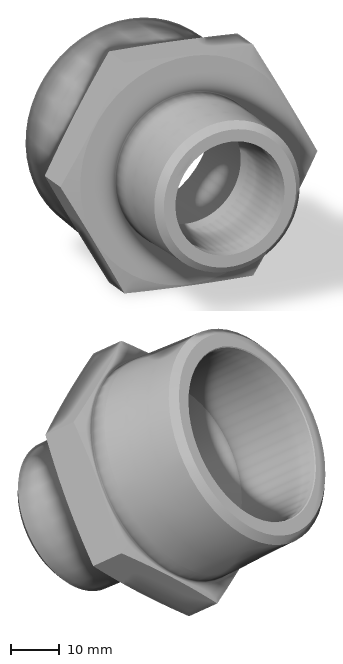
import cadquery as cq
import math

total_length = 52.0
large_taper_end = 19.0
hex_start = 22.5
hex_end = 31.9
small_taper_start = 35.1

across_flats = 50.0
hex_chamfer_angle = 10.0
hex_face_diameter = 49.4
base_fillet = 0.2

large_diameter = 48.2
small_diameter = 33.65
thread_taper = 1 / 16
end_chamfer = 1.5

large_bore_diameter = 38.0
small_bore_diameter = 24.5
large_bore_depth = 20.6
bore_cone_length = 9.2
bore_mouth_chamfer = 0.2


def revolve_about_x(points):
    """Solid of revolution about X from (x, radius) points; the profile closes along the axis."""
    start_x = points[0][0]
    end_x = points[-1][0]
    profile = cq.Workplane("XZ").polyline([(start_x, 0), *points, (end_x, 0)]).close()
    return profile.revolve(360, (0, 0, 0), (1, 0, 0))


def threaded_end(end_x, taper_x, hex_x, diameter):
    """Plain collar at the hexagon, tapered length, then a 45 degree chamfer at the free end."""
    outward = math.copysign(1, end_x - hex_x)
    chamfer_x = end_x - outward * end_chamfer
    radius = diameter / 2
    chamfer_radius = radius - abs(chamfer_x - taper_x) * thread_taper / 2
    return revolve_about_x([
        (hex_x, radius),
        (taper_x, radius),
        (chamfer_x, chamfer_radius),
        (end_x, chamfer_radius - end_chamfer),
    ])


def hexagon():
    """Hexagon with flats facing +Z and -Z and conical chamfers on both faces."""
    corner_radius = across_flats / math.sqrt(3)
    face_radius = hex_face_diameter / 2
    chamfer_depth = (corner_radius - face_radius) * math.tan(math.radians(hex_chamfer_angle))
    prism = (
        cq.Workplane("YZ", origin=(hex_start, 0, 0))
        .polygon(6, 2 * corner_radius)
        .extrude(hex_end - hex_start)
    )
    chamfer_envelope = revolve_about_x([
        (hex_start, face_radius),
        (hex_start + chamfer_depth, corner_radius),
        (hex_end - chamfer_depth, corner_radius),
        (hex_end, face_radius),
    ])
    return prism.intersect(chamfer_envelope)


def base_fillet_ring(hex_x, outward, diameter):
    """Concave fillet ring between a hexagon face and the collar standing on it."""
    radius = diameter / 2
    arc_offset = base_fillet * (1 - math.sqrt(0.5))
    profile = (
        cq.Workplane("XZ")
        .moveTo(hex_x, radius - base_fillet)
        .lineTo(hex_x, radius + base_fillet)
        .threePointArc(
            (hex_x + outward * arc_offset, radius + arc_offset),
            (hex_x + outward * base_fillet, radius),
        )
        .lineTo(hex_x + outward * base_fillet, radius - base_fillet)
        .close()
    )
    return profile.revolve(360, (0, 0, 0), (1, 0, 0))


def passage():
    """Large bore with a chamfered mouth, narrowing through a cone to the small bore."""
    large_radius = large_bore_diameter / 2
    small_radius = small_bore_diameter / 2
    return revolve_about_x([
        (0, large_radius + bore_mouth_chamfer),
        (bore_mouth_chamfer, large_radius),
        (large_bore_depth, large_radius),
        (large_bore_depth + bore_cone_length, small_radius),
        (total_length, small_radius),
    ])


large_end = threaded_end(0, large_taper_end, hex_start, large_diameter)
small_end = threaded_end(total_length, small_taper_start, hex_end, small_diameter)

result = (
    hexagon()
    .union(large_end)
    .union(small_end)
    .union(base_fillet_ring(hex_start, -1, large_diameter))
    .union(base_fillet_ring(hex_end, 1, small_diameter))
    .cut(passage())
)